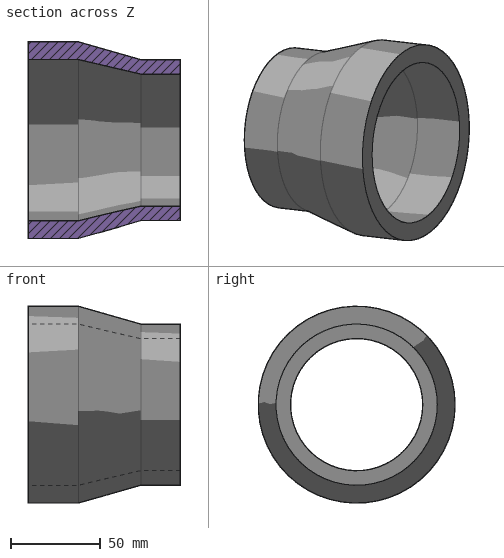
import cadquery as cq

wide_outer_diameter = 110.0
wide_bore_diameter = 90.0
narrow_outer_diameter = 90.0
narrow_bore_diameter = 73.6

total_length = 85.0
wide_length = 28.0
narrow_length = 22.0

wide_end = -total_length / 2
taper_start = wide_end + wide_length
narrow_end = total_length / 2
taper_end = narrow_end - narrow_length


def stepped_body(wide_diameter, narrow_diameter):
    """Solid of revolution: wide cylinder, cone, narrow cylinder."""
    wide_radius = wide_diameter / 2
    narrow_radius = narrow_diameter / 2
    half_profile = (
        cq.Workplane("XY")
        .moveTo(wide_end, 0)
        .lineTo(wide_end, wide_radius)
        .lineTo(taper_start, wide_radius)
        .lineTo(taper_end, narrow_radius)
        .lineTo(narrow_end, narrow_radius)
        .lineTo(narrow_end, 0)
        .close()
    )
    return half_profile.revolve(360, (0, 0, 0), (1, 0, 0))


outer_body = stepped_body(wide_outer_diameter, narrow_outer_diameter)
bore = stepped_body(wide_bore_diameter, narrow_bore_diameter)

result = outer_body.cut(bore)